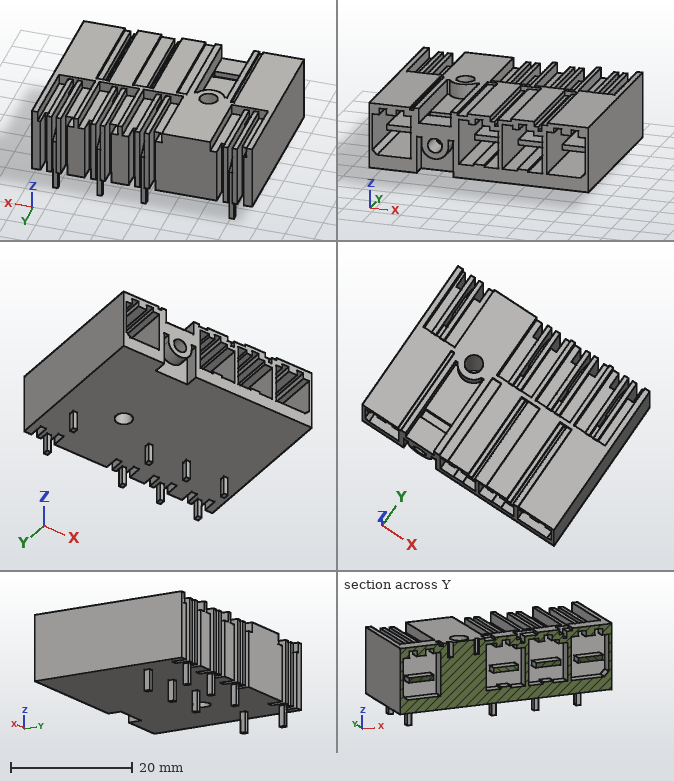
import cadquery as cq


length = 38.1
depth = 28.3
height = 11.35
mid_x = length / 2

pitch = 7.62
first_pole_x = pitch / 2
screw_x = first_pole_x + pitch
second_pole_x = screw_x + pitch
third_pole_x = second_pole_x + pitch
last_pole_x = length - first_pole_x
pole_xs = [first_pole_x, second_pole_x, third_pole_x, last_pole_x]

cavity_depth = 15.77
cavity_floor = 2.4
key_roof = 10.6
web_roof = 9.6
cavity_inner_wall = 3.43
end_cavity_outer_wall = 3.25
end_cavity_chamfer = 0.8
end_cavity_outer_roof = 9.5
end_cavity_inner_roof = 9.8
end_keyway_width = 1.3
end_outer_keyway_offset = 2.1
end_inner_keyway_offset = 2.17
middle_cavity_left_wall = 3.5
middle_left_roof = 10.2
middle_right_roof = 8.9
middle_left_step = 1.75
middle_right_step = 1.9
middle_keyway_half = 0.65
floor_rail_half = 0.9
floor_rail_height = 0.3

groove_length = cavity_depth
shallow_groove = 0.42
medium_groove = 0.85
deep_groove = 1.55
first_groove_start = 7.1
first_groove_width = 0.6
second_groove_start = 15.3
second_groove_width = 1.7
medium_start_offset = 2.02
deep_start_offset = 2.75
deep_end_offset = 3.3
wide_groove_end_offset = 5.6
narrow_groove_end_offset = 4.3

contact_thickness = 0.8

pocket_length = 11.75
pocket_floor = 9.6
pocket_outer_edge = 2.82
pocket_inner_edge = 3.43
rib_top = 10.85
rib_edge = 1.22
rib_width = rib_edge - contact_thickness / 2
notch_edge = 2.32
notch_length = 2.7

blade_width = 4.5
blade_thickness = 0.9
blade_bottom = 5.22
blade_top = blade_bottom + blade_thickness
blade_tip_y = 4.57
leg_width = 1.0
leg_length = 3.55
rear_gap = 0.75
leg_spacing = 7.45
rear_leg_back = depth - rear_gap
rear_leg_front = rear_leg_back - leg_width
front_leg_back = rear_leg_back - leg_spacing
front_leg_front = front_leg_back - leg_width
bridge_top = 7.62
bridge_front_gap = 6.8
bridge_front_y = depth - bridge_front_gap
bevel_size = 2.05

recess_width = 5.55
recess_floor = 8.8
recess_back_y = 14.75
mount_hole_y = 16.0
mount_hole_diameter = 3.05
mount_boss_radius = 2.65
channel_width = 6.4
channel_height = 6.35
channel_depth = 2.4
bore_z = 5.15
bore_diameter = 2.48
bore_boss_radius = 2.32

nut_side = 5.4
nut_thickness = 1.55
nut_front_y = 4.2
nut_back_y = nut_front_y + nut_thickness


def box(x0, x1, y0, y1, z0, z1):
    """Box between two opposite corners."""
    return cq.Workplane("XY").box(x1 - x0, y1 - y0, z1 - z0, centered=False).translate((x0, y0, z0))


def along_y(outline, y0, y1):
    """Prism of an XZ outline from y0 to y1."""
    return outline.extrude(-(y1 - y0)).translate((0, y0, 0))


def end_cavity():
    """Cavity at the first pole, chamfered at the corner near the housing end."""
    outer = first_pole_x - end_cavity_outer_wall
    inner = first_pole_x + cavity_inner_wall
    outer_key_start = first_pole_x - end_outer_keyway_offset
    outer_key_end = outer_key_start + end_keyway_width
    inner_key_end = first_pole_x + end_inner_keyway_offset
    inner_key_start = inner_key_end - end_keyway_width
    outline = cq.Workplane("XZ").polyline([
        (outer + end_cavity_chamfer, cavity_floor),
        (inner, cavity_floor),
        (inner, end_cavity_inner_roof),
        (inner_key_end, end_cavity_inner_roof),
        (inner_key_end, key_roof),
        (inner_key_start, key_roof),
        (inner_key_start, web_roof),
        (outer_key_end, web_roof),
        (outer_key_end, key_roof),
        (outer_key_start, key_roof),
        (outer_key_start, end_cavity_outer_roof),
        (outer, end_cavity_outer_roof),
        (outer, cavity_floor + end_cavity_chamfer),
    ]).close()
    return along_y(outline, 0, cavity_depth)


def middle_cavity(pole_x):
    """Cavity of a middle pole, with one keyway in the roof and a rail on the floor."""
    left = pole_x - middle_cavity_left_wall
    right = pole_x + cavity_inner_wall
    outline = cq.Workplane("XZ").polyline([
        (left, cavity_floor),
        (pole_x - floor_rail_half, cavity_floor),
        (pole_x - floor_rail_half, cavity_floor + floor_rail_height),
        (pole_x + floor_rail_half, cavity_floor + floor_rail_height),
        (pole_x + floor_rail_half, cavity_floor),
        (right, cavity_floor),
        (right, middle_right_roof),
        (pole_x + middle_right_step, middle_right_roof),
        (pole_x + middle_right_step, web_roof),
        (pole_x + middle_keyway_half, web_roof),
        (pole_x + middle_keyway_half, key_roof),
        (pole_x - middle_keyway_half, key_roof),
        (pole_x - middle_keyway_half, web_roof),
        (pole_x - middle_left_step, web_roof),
        (pole_x - middle_left_step, middle_left_roof),
        (left, middle_left_roof),
    ]).close()
    return along_y(outline, 0, cavity_depth)


def groove(start, end, groove_depth):
    """Straight groove in the roof, open at the mating face."""
    return box(start, end, 0, groove_length, height - groove_depth, height)


def stepped_groove(pole_x, end_offset):
    """Groove of three depths over the wall to the right of a pole."""
    medium = groove(pole_x + medium_start_offset, pole_x + deep_start_offset, medium_groove)
    deep = groove(pole_x + deep_start_offset, pole_x + deep_end_offset, deep_groove)
    shallow = groove(pole_x + deep_end_offset, pole_x + end_offset, shallow_groove)
    return medium.union(deep).union(shallow)


def rear_pocket(pole_x, left_edge, right_edge):
    """Pocket around a pair of ribs, with a through notch on each side of the pair."""
    front = depth - pocket_length
    cut = box(pole_x - left_edge, pole_x + right_edge, front, depth, pocket_floor, height)
    for side in (-1, 1):
        rib_x = pole_x + side * (contact_thickness + rib_width) / 2
        rib = box(rib_x - rib_width / 2, rib_x + rib_width / 2, front, depth, pocket_floor, rib_top)
        cut = cut.cut(rib)
    for start in (-notch_edge, rib_edge):
        notch_start = pole_x + start
        notch_end = notch_start + notch_edge - rib_edge
        cut = cut.union(box(notch_start, notch_end, depth - notch_length, depth, 0, height))
    return cut


def contact_slot(pole_x):
    """Upright slot for the plate, with the openings for the blade and the legs."""
    x0 = pole_x - contact_thickness / 2
    x1 = pole_x + contact_thickness / 2
    slot = box(x0, x1, front_leg_front, depth, blade_bottom, height)
    slot = slot.union(box(x0, x1, rear_leg_front, depth, 0, height))
    slot = slot.union(box(x0, x1, front_leg_front, front_leg_back, 0, height))
    return slot.union(blade(pole_x))


def blade(pole_x):
    """Flat blade of a contact."""
    half = blade_width / 2
    return box(pole_x - half, pole_x + half, blade_tip_y, front_leg_front, blade_bottom, blade_top)


def screw_recess():
    """Recess in the roof that leaves a round boss around the mounting hole."""
    half = recess_width / 2
    recess = box(screw_x - half, screw_x + half, 0, recess_back_y, recess_floor, height)
    boss = (
        cq.Workplane("XY", origin=(screw_x, mount_hole_y, recess_floor))
        .circle(mount_boss_radius)
        .extrude(height - recess_floor)
    )
    return recess.cut(boss)


def mount_hole():
    """Vertical hole through the housing."""
    return (
        cq.Workplane("XY", origin=(screw_x, mount_hole_y, 0))
        .circle(mount_hole_diameter / 2)
        .extrude(height)
    )


def bore():
    """Screw bore that runs from the mating face through the nut."""
    outline = cq.Workplane("XZ").center(screw_x, bore_z).circle(bore_diameter / 2)
    return along_y(outline, 0, nut_back_y)


def bore_channel():
    """Channel in the mating face around the rounded boss of the bore."""
    half = channel_width / 2
    channel = box(screw_x - half, screw_x + half, 0, channel_depth, 0, channel_height)
    boss = (
        cq.Workplane("XZ")
        .moveTo(screw_x - bore_boss_radius, channel_height)
        .lineTo(screw_x - bore_boss_radius, bore_z)
        .threePointArc((screw_x, bore_z - bore_boss_radius), (screw_x + bore_boss_radius, bore_z))
        .lineTo(screw_x + bore_boss_radius, channel_height)
        .close()
    )
    return channel.cut(along_y(boss, 0, channel_depth))


def nut_slot():
    """Slot under the recess that holds the nut."""
    half = nut_side / 2
    return box(screw_x - half, screw_x + half, nut_front_y, nut_back_y, bore_z - half, recess_floor)


def make_housing():
    body = box(0, length, 0, depth, 0, height)

    end = end_cavity()
    body = body.cut(end).cut(end.mirror("YZ", (mid_x, 0, 0)))
    for pole_x in (second_pole_x, third_pole_x):
        body = body.cut(middle_cavity(pole_x))

    body = body.cut(groove(first_groove_start, first_groove_start + first_groove_width, shallow_groove))
    body = body.cut(groove(second_groove_start, second_groove_start + second_groove_width, shallow_groove))
    body = body.cut(stepped_groove(second_pole_x, wide_groove_end_offset))
    body = body.cut(stepped_groove(third_pole_x, narrow_groove_end_offset))

    body = body.cut(rear_pocket(first_pole_x, pocket_outer_edge, pocket_inner_edge))
    for pole_x in (second_pole_x, third_pole_x):
        body = body.cut(rear_pocket(pole_x, pocket_inner_edge, pocket_inner_edge))
    body = body.cut(rear_pocket(last_pole_x, pocket_inner_edge, pocket_outer_edge))
    for pole_x in pole_xs:
        body = body.cut(contact_slot(pole_x))

    body = body.cut(screw_recess()).cut(mount_hole())
    return body.cut(bore_channel()).cut(bore()).cut(nut_slot())


def make_contact(pole_x):
    """Contact: upright plate with two solder legs, and a flat blade in front of it."""
    plate = (
        cq.Workplane("YZ", origin=(pole_x - contact_thickness / 2, 0, 0))
        .polyline([
            (front_leg_front, -leg_length),
            (front_leg_back, -leg_length),
            (front_leg_back, blade_bottom),
            (rear_leg_front, blade_bottom),
            (rear_leg_front, -leg_length),
            (rear_leg_back, -leg_length),
            (rear_leg_back, bridge_top - bevel_size),
            (rear_leg_back - bevel_size, bridge_top),
            (bridge_front_y, bridge_top),
            (bridge_front_y, blade_top),
            (front_leg_front, blade_top),
        ])
        .close()
        .extrude(contact_thickness)
    )
    return plate.union(blade(pole_x))


def make_nut():
    """Square nut with its bore along Y."""
    half = nut_side / 2
    body = box(screw_x - half, screw_x + half, nut_front_y, nut_back_y, bore_z - half, bore_z + half)
    return body.cut(bore())


housing = make_housing()
nut = make_nut()
contacts = [make_contact(pole_x) for pole_x in pole_xs]

result = cq.Compound.makeCompound([
    housing.val(),
    nut.val(),
    *[contact.val() for contact in contacts],
])